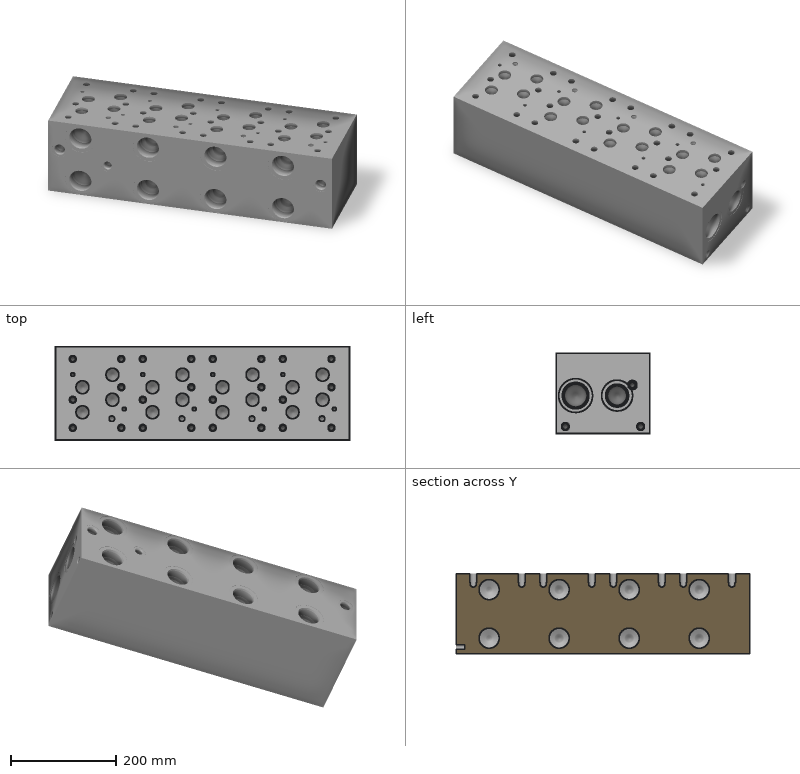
import cadquery as cq
import math

LENGTH = 559.0
WIDTH = 177.5
HEIGHT = 152.5

STATION_COUNT = 4
STATION_PITCH = 133.0

DRILL_POINT_ANGLE = 118.0
SPOTFACE_DEPTH = 0.5

WORK_PORT_X = 63.0
WORK_PORT_ROWS = (30.0, 122.5)
WORK_SPOTFACE = 58.5
WORK_MOUTH = 43.5
WORK_THREAD = 41.5
WORK_SEAT = 39.0
WORK_BORE = 37.0
WORK_MOUTH_DEPTH = 4.0
WORK_THREAD_DEPTH = 19.0
WORK_BORE_DEPTH = 24.5
WORK_PASSAGE = 24.5
WORK_PASSAGE_DEPTH = 42.0

DRAIN_INSET = 22.5
DRAIN_Z = 92.0
DRAIN_SPOTFACE = 30.0
DRAIN_MOUTH = 22.0
DRAIN_THREAD = 19.0
DRAIN_SEAT = 15.5
DRAIN_BORE = 13.0
DRAIN_MOUTH_DEPTH = 3.0
DRAIN_THREAD_DEPTH = 11.0
DRAIN_BORE_DEPTH = 17.0

GAUGE_X = 117.0
GAUGE_Z = 71.5
GAUGE_SPOTFACE = 25.5
GAUGE_MOUTH = 17.0
GAUGE_THREAD = 13.5
GAUGE_SEAT = 11.0
GAUGE_BORE = 9.0
GAUGE_MOUTH_DEPTH = 3.0
GAUGE_THREAD_DEPTH = 11.0
GAUGE_BORE_DEPTH = 17.0

MAIN_PORT_Z = 72.0
TANK_Y = 141.0
TANK_SPOTFACE = 64.0
TANK_MOUTH = 50.5
TANK_THREAD = 48.0
TANK_SEAT = 46.0
TANK_BORE = 43.5
TANK_MOUTH_DEPTH = 4.0
TANK_THREAD_DEPTH = 20.0
TANK_BORE_DEPTH = 25.5
PRESSURE_Y = 62.0

PILOT_PORT_Y = 33.0
PILOT_PORT_Z = 92.0
PILOT_PORT_MOUTH = 17.5
PILOT_PORT_THREAD = 14.5
PILOT_PORT_SEAT = 13.0
PILOT_PORT_BORE = 10.5
PILOT_PORT_MOUTH_DEPTH = 3.0
PILOT_PORT_THREAD_DEPTH = 17.0
PILOT_PORT_BORE_DEPTH = 28.0

MOUNT_INSET = 17.5
MOUNT_Z = 13.5
MOUNT_THREAD = 14.5
MOUNT_BORE = 12.0
MOUNT_THREAD_DEPTH = 17.0
MOUNT_BORE_DEPTH = 22.5

OIL_HOLE = 24.5
OIL_HOLE_DEPTH = 6.5
LEFT_OIL_X = 51.5
RIGHT_OIL_X = 108.5
OIL_ROW_PITCH = 47.5
OIL_ROW_STAGGER = OIL_ROW_PITCH / 2
FIRST_OIL_Y = 53.0
BOLT_THREAD = 13.0
BOLT_BORE = 10.5
BOLT_THREAD_DEPTH = 17.0
BOLT_BORE_DEPTH = 22.5
LEFT_BOLT_X = 33.0
RIGHT_BOLT_X = 125.0
BOLT_ROW_ENDS = (23.5, 154.0)
LEFT_BOLT_MIDDLE_Y = FIRST_OIL_Y + OIL_ROW_STAGGER
RIGHT_BOLT_MIDDLE_Y = FIRST_OIL_Y + OIL_ROW_PITCH
PIN_HOLE = 7.0
PIN_HOLE_DEPTH = 8.5
PIN_POSITIONS = ((LEFT_BOLT_X, 124.5), (131.0, 59.0))
PILOT_HOLE = 10.5
PILOT_HOLE_DEPTH = 3.0
PILOT_HOLE_POSITION = (107.5, 41.0)

STATION_OFFSETS = [station * STATION_PITCH for station in range(STATION_COUNT)]

RADIUS_AXIS = {"front": (1, 0, 0), "end": (0, 1, 0), "top": (1, 0, 0)}
SKETCH_NORMAL = {"front": (0, 0, 1), "end": (0, 0, -1), "top": (0, 1, 0)}


def point_depth(diameter):
    """Height of the drill cone that ends a hole of this diameter."""
    return diameter / 2 / math.tan(math.radians(DRILL_POINT_ANGLE / 2))


def hole(position, direction, stages):
    """Solid to cut: a turned profile through (diameter, depth) stages, ending in a drill point."""
    last_diameter, last_depth = stages[-1]
    tip = last_depth + point_depth(last_diameter)
    profile = [(0, 0)] + [(diameter / 2, depth) for diameter, depth in stages] + [(0, tip)]
    frame = cq.Plane(origin=position, xDir=RADIUS_AXIS[direction], normal=SKETCH_NORMAL[direction])
    return cq.Workplane(frame).polyline(profile).close().revolve(360, (0, 0), (0, 1)).val()


def plain_stages(diameter, depth):
    return [(diameter, 0), (diameter, depth)]


def tapped_stages(thread, thread_depth, bore, bore_depth):
    """Threaded length with a narrower bore below it."""
    return plain_stages(thread, thread_depth) + [(bore, thread_depth), (bore, bore_depth)]


def port_stages(mouth, mouth_depth, thread, thread_depth, seat, bore, bore_depth):
    """Tapered mouth, threaded length, flat seat and a funnel down to the bore."""
    return [
        (mouth, 0),
        (thread, mouth_depth),
        (thread, thread_depth),
        (seat, thread_depth),
        (bore, bore_depth),
    ]


def spotfaced(spotface, stages):
    """Shallow flat seat around the opening of a port."""
    mouth = stages[0][0]
    return plain_stages(spotface, SPOTFACE_DEPTH) + [(mouth, SPOTFACE_DEPTH)] + stages[1:]


def front_hole(x, z, stages):
    return hole((x, 0, z), "front", stages)


def end_hole(y, z, stages):
    return hole((0, y, z), "end", stages)


def top_hole(x, y, stages):
    return hole((x, y, HEIGHT), "top", stages)


def large_port_stages():
    """Port form shared by the work ports and the pressure port."""
    port = port_stages(
        WORK_MOUTH, WORK_MOUTH_DEPTH, WORK_THREAD, WORK_THREAD_DEPTH, WORK_SEAT, WORK_BORE, WORK_BORE_DEPTH
    )
    return spotfaced(WORK_SPOTFACE, port)


def work_ports():
    """All stations get both ports; every station but the first has a narrower passage behind them."""
    passage = plain_stages(WORK_PASSAGE, WORK_PASSAGE_DEPTH)
    tools = []
    for station, offset in enumerate(STATION_OFFSETS):
        for z in WORK_PORT_ROWS:
            tools.append(front_hole(WORK_PORT_X + offset, z, large_port_stages()))
            if station > 0:
                tools.append(front_hole(WORK_PORT_X + offset, z, passage))
    return tools


def drain_ports():
    port = port_stages(
        DRAIN_MOUTH,
        DRAIN_MOUTH_DEPTH,
        DRAIN_THREAD,
        DRAIN_THREAD_DEPTH,
        DRAIN_SEAT,
        DRAIN_BORE,
        DRAIN_BORE_DEPTH,
    )
    stages = spotfaced(DRAIN_SPOTFACE, port)
    return [front_hole(x, DRAIN_Z, stages) for x in (DRAIN_INSET, LENGTH - DRAIN_INSET)]


def gauge_port():
    port = port_stages(
        GAUGE_MOUTH,
        GAUGE_MOUTH_DEPTH,
        GAUGE_THREAD,
        GAUGE_THREAD_DEPTH,
        GAUGE_SEAT,
        GAUGE_BORE,
        GAUGE_BORE_DEPTH,
    )
    stages = spotfaced(GAUGE_SPOTFACE, port)
    return [front_hole(GAUGE_X, GAUGE_Z, stages)]


def end_ports():
    port = port_stages(
        TANK_MOUTH,
        TANK_MOUTH_DEPTH,
        TANK_THREAD,
        TANK_THREAD_DEPTH,
        TANK_SEAT,
        TANK_BORE,
        TANK_BORE_DEPTH,
    )
    tank = spotfaced(TANK_SPOTFACE, port)
    pilot = port_stages(
        PILOT_PORT_MOUTH,
        PILOT_PORT_MOUTH_DEPTH,
        PILOT_PORT_THREAD,
        PILOT_PORT_THREAD_DEPTH,
        PILOT_PORT_SEAT,
        PILOT_PORT_BORE,
        PILOT_PORT_BORE_DEPTH,
    )
    return [
        end_hole(TANK_Y, MAIN_PORT_Z, tank),
        end_hole(PRESSURE_Y, MAIN_PORT_Z, large_port_stages()),
        end_hole(PILOT_PORT_Y, PILOT_PORT_Z, pilot),
    ]


def mounting_holes():
    stages = tapped_stages(MOUNT_THREAD, MOUNT_THREAD_DEPTH, MOUNT_BORE, MOUNT_BORE_DEPTH)
    return [end_hole(y, MOUNT_Z, stages) for y in (MOUNT_INSET, WIDTH - MOUNT_INSET)]


def station_holes(offset):
    """Oil, bolt, pin and pilot holes of one station on the top face."""
    oil = plain_stages(OIL_HOLE, OIL_HOLE_DEPTH)
    bolt = tapped_stages(BOLT_THREAD, BOLT_THREAD_DEPTH, BOLT_BORE, BOLT_BORE_DEPTH)
    pin = plain_stages(PIN_HOLE, PIN_HOLE_DEPTH)
    pilot = plain_stages(PILOT_HOLE, PILOT_HOLE_DEPTH)
    tools = []
    for row_y in (FIRST_OIL_Y, FIRST_OIL_Y + OIL_ROW_PITCH):
        tools.append(top_hole(LEFT_OIL_X + offset, row_y, oil))
        tools.append(top_hole(RIGHT_OIL_X + offset, row_y + OIL_ROW_STAGGER, oil))
    for x, middle_y in ((LEFT_BOLT_X, LEFT_BOLT_MIDDLE_Y), (RIGHT_BOLT_X, RIGHT_BOLT_MIDDLE_Y)):
        for y in (*BOLT_ROW_ENDS, middle_y):
            tools.append(top_hole(x + offset, y, bolt))
    for x, y in PIN_POSITIONS:
        tools.append(top_hole(x + offset, y, pin))
    pilot_x, pilot_y = PILOT_HOLE_POSITION
    tools.append(top_hole(pilot_x + offset, pilot_y, pilot))
    return tools


tools = work_ports() + drain_ports() + gauge_port() + end_ports() + mounting_holes()
for offset in STATION_OFFSETS:
    tools += station_holes(offset)

block = cq.Workplane("XY").box(LENGTH, WIDTH, HEIGHT, centered=False)
result = cq.Workplane(block.val().cut(*tools))